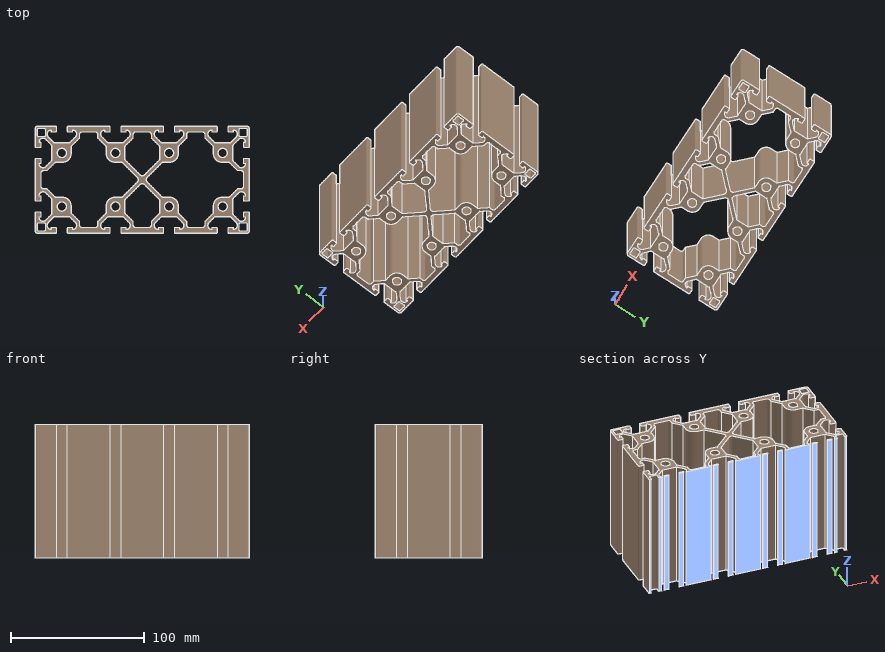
import cadquery as cq
import math

length_x = 160.0
width_y = 80.0
height = 100.0
corner_radius = 2.0

pitch = 40.0
half_pitch = pitch / 2
half_x = length_x / 2
half_y = width_y / 2
bore_diameter = 6.7
boss_half = 7.0
boss_radius = 6.7

mouth_half = 4.0
lip_thickness = 4.5
lip_radius = 0.8
lip_edge_radius = 0.5
slot_depth = 12.3
floor_half = 5.8
groove_offset = 8.0
groove_depth = 6.0

web_thickness = 2.9
half_web = web_thickness / math.sqrt(2)
cross_tip_radius = 2.4

recess_half = 6.7
recess_radius = 1.6

channel_size = 6.0
channel_inset = 1.8
channel_radius = 0.6

web_start = boss_half - half_web
recess_side = half_pitch - recess_half
web_end = recess_side - half_web


def rounded_prism(corners):
    """Extrude a closed polygon; each corner is (x, y, radius), and radius 0 keeps it sharp."""
    outline = None
    count = len(corners)
    for i, (x, y, radius) in enumerate(corners):
        corner = cq.Vector(x, y)
        to_previous = (cq.Vector(*corners[i - 1][:2]) - corner).normalized()
        to_next = (cq.Vector(*corners[(i + 1) % count][:2]) - corner).normalized()
        half_angle = to_previous.getAngle(to_next) / 2
        setback = radius / math.tan(half_angle)
        start = corner + to_previous * setback
        outline = outline.lineTo(start.x, start.y) if outline else cq.Workplane().moveTo(start.x, start.y)
        if radius > 0:
            bisector = (to_previous + to_next).normalized()
            middle = corner + bisector * (radius / math.sin(half_angle) - radius)
            end = corner + to_next * setback
            outline = outline.threePointArc((middle.x, middle.y), (end.x, end.y))
    return outline.close().extrude(height)


def slot_cutter():
    """T-slot opening at y = 0 and running inward along -Y, centred on x = 0."""
    flank_sum = floor_half + slot_depth
    groove_radius = (flank_sum - groove_offset - groove_depth) / math.sqrt(2)
    diagonal = groove_radius / math.sqrt(2)
    bulge = lip_radius * (1 - math.sqrt(0.5))
    edge_bulge = lip_edge_radius * (1 - math.sqrt(0.5))
    half = (
        cq.Workplane()
        .moveTo(0, 0)
        .lineTo(mouth_half + lip_radius, 0)
        .threePointArc((mouth_half + bulge, -bulge), (mouth_half, -lip_radius))
        .lineTo(mouth_half, lip_radius - lip_thickness)
        .threePointArc(
            (mouth_half + bulge, bulge - lip_thickness),
            (mouth_half + lip_radius, -lip_thickness),
        )
        .lineTo(groove_offset - lip_edge_radius, -lip_thickness)
        .threePointArc(
            (groove_offset - edge_bulge, edge_bulge - lip_thickness),
            (groove_offset, lip_edge_radius - lip_thickness),
        )
        .lineTo(groove_offset, groove_radius - groove_depth)
        .threePointArc(
            (groove_offset + groove_radius, -groove_depth),
            (groove_offset + diagonal, -groove_depth - diagonal),
        )
        .lineTo(floor_half, -slot_depth)
        .lineTo(0, -slot_depth)
        .close()
        .extrude(height)
    )
    return half.union(half.mirror("YZ"))


def end_cavity():
    """Large cavity between the crossing webs and the +X wall."""
    near = half_pitch
    far = near + pitch
    boss_bottom = half_pitch - boss_half
    recess_y = half_y - lip_thickness
    recess_x = half_x - lip_thickness
    upper = [
        (boss_bottom + half_web, boss_bottom, 0),
        (near + boss_half, boss_bottom, boss_radius),
        (near + boss_half, half_pitch + web_start, 0),
        (near + recess_side, half_pitch + web_end, 0),
        (near + recess_side, recess_y, recess_radius),
        (far - recess_side, recess_y, recess_radius),
        (far - recess_side, half_pitch + web_end, 0),
        (far - boss_half, half_pitch + web_start, 0),
        (far - boss_half, boss_bottom, boss_radius),
        (far + web_start, boss_bottom, 0),
        (far + web_end, half_pitch - recess_side, 0),
        (recess_x, half_pitch - recess_side, recess_radius),
    ]
    lower = [(x, -y, radius) for x, y, radius in reversed(upper)]
    return rounded_prism([(half_web, 0, cross_tip_radius)] + upper + lower)


def middle_cavity():
    """Cavity between the crossing webs and the +Y wall."""
    boss_side = half_pitch - boss_half
    right = [
        (boss_side, boss_side + half_web, 0),
        (boss_side, half_pitch + web_start, 0),
        (recess_half, half_pitch + web_end, 0),
        (recess_half, half_y - lip_thickness, recess_radius),
    ]
    left = [(-x, y, radius) for x, y, radius in reversed(right)]
    return rounded_prism([(0, half_web, cross_tip_radius)] + right + left)


profile = (
    cq.Workplane()
    .rect(length_x, width_y)
    .extrude(height)
    .edges("|Z")
    .fillet(corner_radius)
)

columns = [(i + 0.5) * pitch - half_x for i in range(round(length_x / pitch))]
rows = [(i + 0.5) * pitch - half_y for i in range(round(width_y / pitch))]
bores = (
    cq.Workplane()
    .pushPoints([(x, y) for x in columns for y in rows])
    .circle(bore_diameter / 2)
    .extrude(height)
)
channel_shift = 2 * channel_inset + channel_size
channels = (
    cq.Workplane()
    .rect(length_x - channel_shift, width_y - channel_shift, forConstruction=True)
    .vertices()
    .rect(channel_size, channel_size)
    .extrude(height)
    .edges("|Z")
    .fillet(channel_radius)
)
profile = profile.cut(bores).cut(channels)

slot = slot_cutter()
cutters = [slot.translate((x, half_y, 0)) for x in columns]
cutters += [slot.rotate((0, 0, 0), (0, 0, 1), -90).translate((half_x, y, 0)) for y in rows]
cutters += [end_cavity(), middle_cavity()]
for cutter in cutters:
    profile = profile.cut(cutter)
    profile = profile.cut(cutter.rotate((0, 0, 0), (0, 0, 1), 180))

result = profile